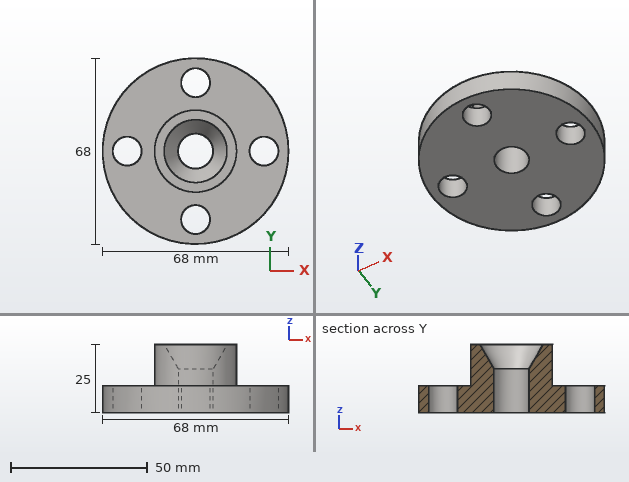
import cadquery as cq

flange_diameter = 68.0
flange_thickness = 10.0

hub_diameter = 30.0
total_height = 25.0
hub_height = total_height - flange_thickness

bore_diameter = 12.7
mouth_diameter = 23.0
mouth_angle = 60.0

bolt_hole_count = 4
bolt_hole_diameter = 10.5
bolt_circle_diameter = 50.0


def make_body():
    """Flange with its bottom face at Z = 0 and the hub on top."""
    flange = cq.Workplane("XY").circle(flange_diameter / 2).extrude(flange_thickness)
    return flange.faces(">Z").workplane().circle(hub_diameter / 2).extrude(hub_height)


def cut_bore(body):
    """Central hole through flange and hub, flared at the hub end."""
    return body.faces(">Z").workplane().cskHole(bore_diameter, mouth_diameter, mouth_angle)


def cut_bolt_holes(body):
    """Equally spaced through holes around the hub."""
    holes = (
        cq.Workplane("XY")
        .polarArray(bolt_circle_diameter / 2, 0, 360, bolt_hole_count)
        .circle(bolt_hole_diameter / 2)
        .extrude(flange_thickness)
    )
    return body.cut(holes)


result = cut_bolt_holes(cut_bore(make_body()))